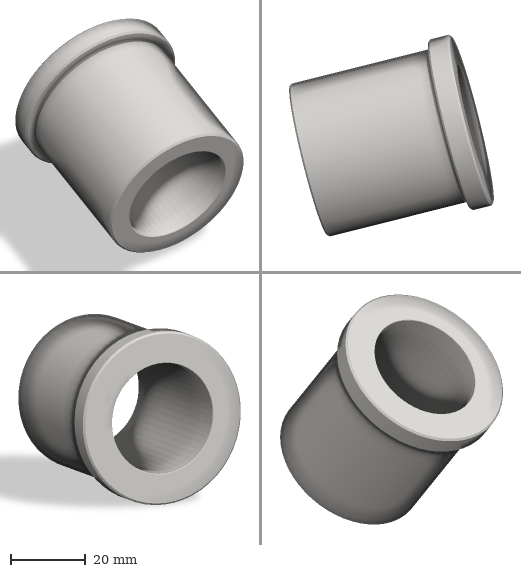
import cadquery as cq

total_length = 45.0
flange_diameter = 47.0
body_diameter = 42.0
bore_diameter = 30.0

flange_thickness = 6.0
undercut_width = 1.0

rim_chamfer = 0.5
bore_chamfer = 0.15


def cylinder(diameter, start, length):
    """Solid cylinder along X, beginning at x = start."""
    return cq.Workplane("YZ", origin=(start, 0, 0)).circle(diameter / 2).extrude(length)


flange = cylinder(flange_diameter, 0, flange_thickness).edges().chamfer(rim_chamfer)

body_length = total_length - flange_thickness
body = cylinder(body_diameter, flange_thickness, body_length).faces(">X").edges().chamfer(rim_chamfer)

undercut_radius = undercut_width / 2
undercut = (
    cq.Workplane("XY")
    .center(flange_thickness + undercut_radius, body_diameter / 2)
    .moveTo(-undercut_radius, 0)
    .threePointArc((0, -undercut_radius), (undercut_radius, 0))
    .close()
    .revolve(360, (-0.45, -body_diameter / 2), (0.45, -body_diameter / 2))
)
body = body.cut(undercut)

bored = flange.union(body).cut(cylinder(bore_diameter, 0, total_length))
bore_mouths = cq.selectors.RadiusNthSelector(0)
result = bored.faces("<X or >X").edges(bore_mouths).chamfer(bore_chamfer)